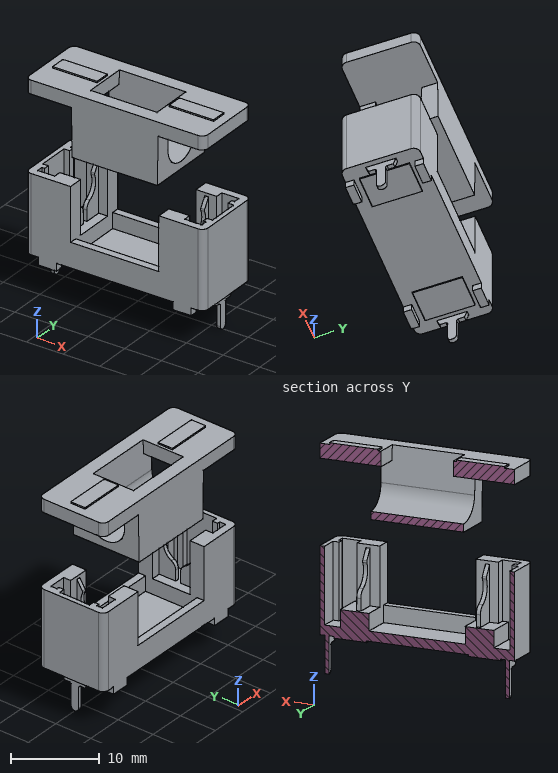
import cadquery as cq
import math

length = 24.4
width = 9.4
corner_radius = 0.82
wall = 1.0

label_top = 27.2
label_height = 0.2
label_length = 6.07
label_width = 2.05
label_offset = 7.95
plate_thickness = 1.82
plate_top = label_top - label_height
plate_bottom = plate_top - plate_thickness
block_bottom = 18.8
block_top_half_length = 5.93
block_bottom_half_length = 5.82
window_length = 9.05
window_half_width = 2.88
barrel_radius = 2.67
barrel_center_z = block_bottom + wall + barrel_radius

holder_bottom = 4.5
holder_top = 15.0
tray_rim = 7.8
tray_floor = 5.75
tower_inner = 6.0
inside_half_width = width / 2 - wall
cavity_start = 8.87
cavity_end = length / 2 - wall
pit_start = 9.63
passage_half_width = 2.7

rib_inner_y = 2.12
rib_outer_y = 2.85
rib_height = 0.38
recess_depth = 0.38

foot_inner = 7.95
foot_outer = 10.45
foot_width = 1.03
foot_height = 1.0
pad_inner = 6.36
pad_width = 6.05
pad_height = 0.2

sheet = 0.52
fork_front = 7.24
fork_top = 14.58
seat_radius = 2.1
seat_center_z = 12.15
throat_half_width = 1.82
throat_z = seat_center_z + math.sqrt(seat_radius**2 - throat_half_width**2)
throat_round = 0.27
slit_width = 0.68
slit_top = seat_center_z - math.sqrt(seat_radius**2 - (slit_width / 2) ** 2)
slit_round = 1.15
pin_center_x = 11.32
pin_radius = 0.55
shoulder_z = 3.55
shoulder_top_half = 1.82
shoulder_bottom_half = 1.5
neck_half = 0.73
neck_z = 3.37


def box(x_range, y_range, z_range):
    """Box spanning the given (low, high) pairs."""
    size = [high - low for low, high in (x_range, y_range, z_range)]
    corner = (x_range[0], y_range[0], z_range[0])
    return cq.Workplane("XY").box(*size, centered=False).translate(corner)


def centered_box(x_range, half_width, z_range):
    """Box that is symmetric about the XZ plane."""
    return box(x_range, (-half_width, half_width), z_range)


def rounded_slab(bottom, top):
    """Slab over the whole footprint with rounded vertical corners."""
    slab = centered_box((-length / 2, length / 2), width / 2, (bottom, top))
    return slab.edges("|Z").fillet(corner_radius)


def both_ends(shape):
    """The shape together with its mirror image at the -X end."""
    return shape.union(shape.mirror("YZ"))


def make_barrel_cut():
    """Tapered trough with a round bottom, running along X."""
    return (
        cq.Workplane("YZ")
        .moveTo(-window_half_width, plate_top)
        .lineTo(-barrel_radius, barrel_center_z)
        .threePointArc((0, barrel_center_z - barrel_radius), (barrel_radius, barrel_center_z))
        .lineTo(window_half_width, plate_top)
        .close()
        .extrude(length / 2, both=True)
    )


def make_cover():
    plate = rounded_slab(plate_bottom, plate_top)
    block = (
        cq.Workplane("XZ")
        .polyline([
            (-block_top_half_length, plate_bottom),
            (block_top_half_length, plate_bottom),
            (block_bottom_half_length, block_bottom),
            (-block_bottom_half_length, block_bottom),
        ])
        .close()
        .extrude(width / 2, both=True)
    )
    barrel = make_barrel_cut()
    window_zone = centered_box(
        (-window_length / 2, window_length / 2), width / 2, (plate_bottom, plate_top)
    )
    cover = plate.cut(barrel.intersect(window_zone)).union(block.cut(barrel))
    label = centered_box(
        (label_offset - label_length / 2, label_offset + label_length / 2),
        label_width / 2,
        (plate_top, label_top),
    )
    return cover.union(both_ends(label))


def make_tower_cut():
    """Hollow of the +X tower: wide cavity with a pit, passage to the tray, and end wall recess."""
    cavity = centered_box((cavity_start, cavity_end), inside_half_width, (tray_rim, holder_top))
    passage = centered_box((tower_inner, cavity_start), passage_half_width, (tray_rim, holder_top))
    pit = centered_box((pit_start, cavity_end), inside_half_width, (tray_floor, tray_rim))
    recess = centered_box((cavity_end, cavity_end + recess_depth), rib_inner_y, (tray_floor, holder_top))
    hollow = cavity.union(passage).union(pit).union(recess)
    rib = box(
        (cavity_end - rib_height, cavity_end), (rib_inner_y, rib_outer_y), (tray_floor, holder_top)
    )
    return hollow.cut(rib).cut(rib.mirror("XZ"))


def round_edge_pair(fork, half_width, z, radius):
    """Round the two edges along X that lie at Y = +-half_width and height z."""
    mid_x = fork_front + sheet / 2
    for y in (-half_width, half_width):
        fork = fork.edges(cq.NearestToPointSelector((mid_x, y, z))).fillet(radius)
    return fork


def make_fork():
    """Upright contact of the +X tower: funnel mouth, round seat and slit."""
    fork = centered_box((fork_front, fork_front + sheet), passage_half_width, (tray_rim, fork_top))
    mouth_and_seat = (
        cq.Workplane("YZ", origin=(fork_front, 0, 0))
        .moveTo(-passage_half_width, fork_top)
        .lineTo(-throat_half_width, throat_z)
        .threePointArc((0, seat_center_z - seat_radius), (throat_half_width, throat_z))
        .lineTo(passage_half_width, fork_top)
        .close()
        .extrude(sheet)
    )
    slit = centered_box(
        (fork_front, fork_front + sheet), slit_width / 2, (tray_rim, seat_center_z)
    )
    fork = fork.cut(mouth_and_seat).cut(slit)
    fork = round_edge_pair(fork, throat_half_width, throat_z, throat_round)
    return round_edge_pair(fork, slit_width / 2, slit_top, slit_round)


def make_pin():
    """Solder pin of the +X end: tapered shoulder, chamfered neck and round tip."""
    return (
        cq.Workplane("YZ", origin=(pin_center_x - sheet / 2, 0, 0))
        .moveTo(-shoulder_top_half, holder_bottom)
        .lineTo(-shoulder_bottom_half, shoulder_z)
        .lineTo(-neck_half, shoulder_z)
        .lineTo(-pin_radius, neck_z)
        .lineTo(-pin_radius, pin_radius)
        .threePointArc((0, 0), (pin_radius, pin_radius))
        .lineTo(pin_radius, neck_z)
        .lineTo(neck_half, shoulder_z)
        .lineTo(shoulder_bottom_half, shoulder_z)
        .lineTo(shoulder_top_half, holder_bottom)
        .close()
        .extrude(sheet)
    )


def make_feet():
    """Two feet and the thin pad between them at the +X end."""
    foot = box(
        (foot_inner, foot_outer),
        (width / 2 - foot_width, width / 2),
        (holder_bottom - foot_height, holder_bottom),
    )
    pad = centered_box(
        (pad_inner, foot_outer), pad_width / 2, (holder_bottom - pad_height, holder_bottom)
    )
    return foot.union(foot.mirror("XZ")).union(pad)


def make_holder():
    tray_span = (-tower_inner, tower_inner)
    holder = rounded_slab(holder_bottom, holder_top)
    holder = holder.cut(centered_box(tray_span, width / 2, (tray_rim, holder_top)))
    holder = holder.cut(centered_box(tray_span, inside_half_width, (tray_floor, tray_rim)))
    holder = holder.cut(both_ends(make_tower_cut()))
    for end_feature in (make_fork(), make_feet(), make_pin()):
        holder = holder.union(both_ends(end_feature))
    return holder


cover = make_cover()
holder = make_holder()
result = cq.Compound.makeCompound([cover.val(), holder.val()])